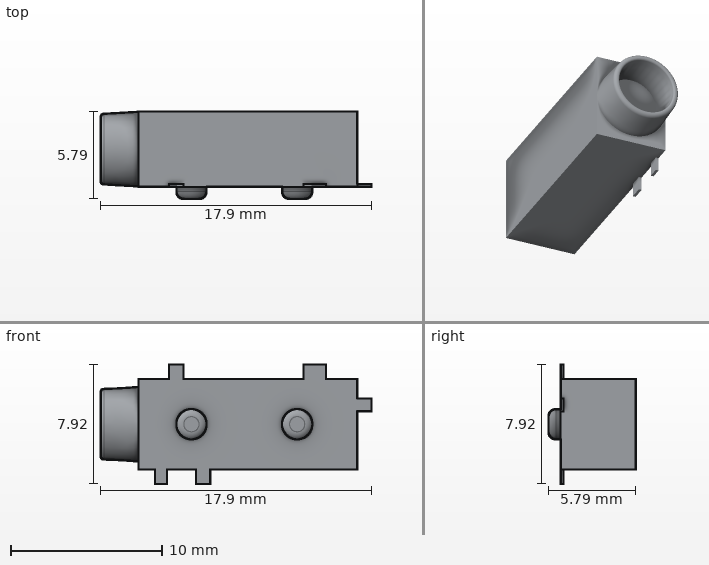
import cadquery as cq

overall_length = 17.95

barrel_length = 2.5
body_length = 14.5
body_depth = 4.99
body_height = 6.0
body_end = barrel_length + body_length

barrel_base_radius = 2.48
barrel_mouth_radius = 2.33
bore_mouth_radius = 1.97
bore_floor_radius = 1.8
bore_depth = barrel_length
outer_lip_round = 0.23
inner_lip_round = 0.13

stud_radius = 1.0
stud_height = 0.8
stud_round = stud_radius / 2
stud_positions = [6.01, 13.01]

terminal_thickness = 0.2
terminal_span = 7.92
terminal_reach = (terminal_span - body_height) / 2
end_terminal_width = 0.86
end_terminal_z = 1.27
top_terminals = [(5.0, 0.97), (14.18, 1.5)]
bottom_terminals = [(4.0, 0.8), (6.79, 0.97)]

mounting_face_y = -body_depth / 2


def box_between(x_start, x_end, y_start, y_end, z_start, z_end):
    """Box spanning the given limits on each axis."""
    size = (x_end - x_start, y_end - y_start, z_end - z_start)
    return cq.Workplane("XY").box(*size, centered=False).translate((x_start, y_start, z_start))


def terminal(x_start, x_end, z_start, z_end):
    """Flat terminal lying in the mounting face."""
    terminal_back_y = mounting_face_y + terminal_thickness
    return box_between(x_start, x_end, mounting_face_y, terminal_back_y, z_start, z_end)


def stud(x):
    """Cylindrical stud with a rounded end, pointing towards -Y."""
    return (
        cq.Workplane("XZ", origin=(x, mounting_face_y, 0))
        .circle(stud_radius)
        .extrude(stud_height)
        .faces("<Y")
        .edges()
        .fillet(stud_round)
    )


def cone_along_x(length, start_radius, end_radius):
    """Truncated cone on the X axis, starting at X = 0."""
    profile = [(0, 0), (0, start_radius), (length, end_radius), (length, 0)]
    return cq.Workplane("XY").polyline(profile).close().revolve(360, (0, 0, 0), (1, 0, 0))


half_height = body_height / 2
body = box_between(barrel_length, body_end, mounting_face_y, -mounting_face_y, -half_height, half_height)

barrel = cone_along_x(barrel_length, barrel_mouth_radius, barrel_base_radius)
barrel = barrel.faces("<X").edges().fillet(outer_lip_round)
result = body.union(barrel).cut(cone_along_x(bore_depth, bore_mouth_radius, bore_floor_radius))
result = result.faces("<X").edges(cq.selectors.RadiusNthSelector(0)).fillet(inner_lip_round)

for x in stud_positions:
    result = result.union(stud(x))

for x, width in top_terminals:
    result = result.union(terminal(x - width / 2, x + width / 2, 0, half_height + terminal_reach))

for x, width in bottom_terminals:
    result = result.union(terminal(x - width / 2, x + width / 2, -half_height - terminal_reach, 0))

end_terminal_bottom = end_terminal_z - end_terminal_width / 2
end_terminal_top = end_terminal_z + end_terminal_width / 2
result = result.union(
    terminal(barrel_length, overall_length, end_terminal_bottom, end_terminal_top)
)